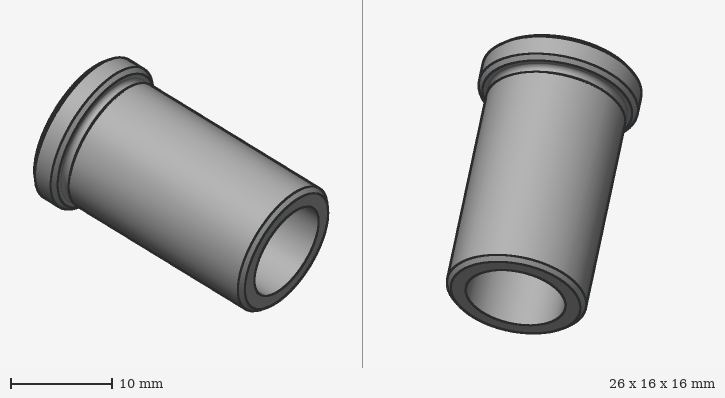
import cadquery as cq

length = 26.0
collar_diameter = 16.0
body_diameter = 14.0
bore_diameter = 10.0

collar_width = 3.0
groove_width = 1.0

outer_chamfer = 0.5
bore_chamfer = 0.2

collar_radius = collar_diameter / 2
body_radius = body_diameter / 2
bore_radius = bore_diameter / 2
groove_radius = groove_width / 2
groove_end = collar_width + groove_width

half_section = (
    cq.Workplane("XY")
    .moveTo(0, bore_radius + bore_chamfer)
    .lineTo(0, collar_radius - outer_chamfer)
    .lineTo(outer_chamfer, collar_radius)
    .lineTo(collar_width - outer_chamfer, collar_radius)
    .lineTo(collar_width, collar_radius - outer_chamfer)
    .lineTo(collar_width, body_radius)
    .threePointArc(
        (collar_width + groove_radius, body_radius - groove_radius),
        (groove_end, body_radius),
    )
    .lineTo(length - outer_chamfer, body_radius)
    .lineTo(length, body_radius - outer_chamfer)
    .lineTo(length, bore_radius)
    .lineTo(bore_chamfer, bore_radius)
    .close()
)

result = half_section.revolve(360, (0, 0, 0), (1, 0, 0))